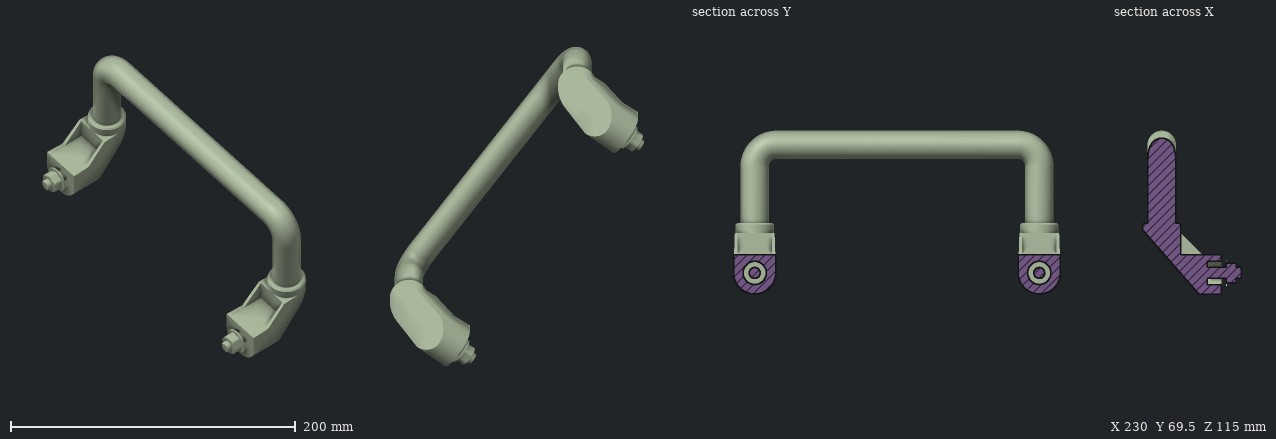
import cadquery as cq
import math


leg_spacing = 200.0
bar_diameter = 20.0
bend_radius = 15.0
bar_axis_height = 90.0

collar_diameter = 27.0
collar_radius = collar_diameter / 2
collar_top = 35.0
collar_chamfer = 1.0
shoulder_height = 28.0

foot_front = -42.0
foot_round_radius = 15.0
block_top = 13.0
back_slope_top = 30.0
back_slope_end = -26.0

pocket_width = 24.0
pocket_back = -collar_radius
pocket_step = 0.2
pocket_floor = block_top - pocket_step

recess_diameter = 16.0
recess_depth = 10.0

stud_diameter = 8.0
stud_end = -56.0
stud_chamfer = 0.75
washer_gap = 3.0
washer_diameter = 18.2
washer_thickness = 1.0
nut_across_flats = 13.0
nut_corner_diameter = 14.2
nut_height = 6.5
nut_chamfer_angle = 30.0
nut_turns = {-1: 0.0, 1: 30.0}


def cylinder_along_y(diameter, start, end):
    """Round bar on the stud axis from Y = start forward to Y = end."""
    return (
        cq.Workplane("XZ", origin=(0, start, 0))
        .circle(diameter / 2)
        .extrude(start - end)
    )


def make_bar():
    """Bar swept up one leg, across and down the other."""
    half_span = leg_spacing / 2
    bend_start = bar_axis_height - bend_radius
    straight_end = half_span - bend_radius
    path = (
        cq.Workplane("XZ")
        .moveTo(-half_span, shoulder_height)
        .lineTo(-half_span, bend_start)
        .radiusArc((-straight_end, bar_axis_height), bend_radius)
        .lineTo(straight_end, bar_axis_height)
        .radiusArc((half_span, bend_start), bend_radius)
        .lineTo(half_span, shoulder_height)
    )
    return (
        cq.Workplane("XY", origin=(-half_span, 0, shoulder_height))
        .circle(bar_diameter / 2)
        .sweep(path)
    )


def make_side_profile():
    """Cranked side outline of the whole foot, as a slab across its full width."""
    slope_run = shoulder_height - block_top
    outline = [
        (collar_radius, collar_top),
        (-collar_radius, collar_top),
        (-collar_radius, shoulder_height),
        (-collar_radius - slope_run, block_top),
        (foot_front, block_top),
        (foot_front, -foot_round_radius),
        (back_slope_end, -foot_round_radius),
        (collar_radius, back_slope_top),
    ]
    return (
        cq.Workplane("YZ")
        .polyline(outline)
        .close()
        .extrude(foot_round_radius, both=True)
    )


def make_foot_plan():
    """Collar cylinder joined to the cheeks, which widen towards the front."""
    front_x = foot_round_radius
    corner_distance = math.hypot(front_x, foot_front)
    draft = math.acos(collar_radius / corner_distance) - math.atan2(-foot_front, front_x)
    tangent_x = collar_radius * math.cos(draft)
    tangent_y = collar_radius * math.sin(draft)
    collar = (
        cq.Workplane("XY", origin=(0, 0, -foot_round_radius))
        .circle(collar_radius)
        .extrude(foot_round_radius + collar_top)
        .faces(">Z")
        .chamfer(collar_chamfer)
    )
    cheeks = (
        cq.Workplane("XY", origin=(0, 0, -foot_round_radius))
        .polyline(
            [
                (-tangent_x, tangent_y),
                (-front_x, foot_front),
                (front_x, foot_front),
                (tangent_x, tangent_y),
            ]
        )
        .close()
        .extrude(foot_round_radius + shoulder_height)
    )
    return collar.union(cheeks)


def make_round_bottom():
    """Upright slot shape along Y that rounds the underside of the foot."""
    round_bottom = cylinder_along_y(2 * foot_round_radius, collar_radius, foot_front)
    upper_part = cq.Workplane("XY").box(
        2 * foot_round_radius,
        collar_radius - foot_front,
        collar_top,
        centered=(True, False, False),
    ).translate((0, foot_front, 0))
    return round_bottom.union(upper_part)


def make_pocket():
    """Cutter for the recess between the cheeks."""
    return cq.Workplane("XY").box(
        pocket_width,
        pocket_back - foot_front,
        shoulder_height - pocket_floor,
        centered=(True, False, False),
    ).translate((0, foot_front, pocket_floor))


def make_foot():
    """Foot body with its pocket and stud recess."""
    foot = make_foot_plan().intersect(make_side_profile())
    foot = foot.intersect(make_round_bottom())
    recess = cylinder_along_y(recess_diameter, foot_front + recess_depth, foot_front)
    return foot.cut(make_pocket()).cut(recess)


def make_nut(start, turn):
    """Hexagon nut with rounded corners and a chamfered outer end, turned about the stud axis."""
    corner_radius = nut_corner_diameter / 2
    end_radius = nut_across_flats / 2
    chamfer_length = (corner_radius - end_radius) * math.tan(math.radians(nut_chamfer_angle))
    end = start - nut_height
    hexagon = (
        cq.Workplane("XZ", origin=(0, start, 0))
        .polygon(6, nut_across_flats, circumscribed=True)
        .extrude(nut_height)
        .rotate((0, 0, 0), (0, 1, 0), turn)
    )
    envelope = (
        cq.Workplane("XY")
        .polyline(
            [
                (0, start),
                (corner_radius, start),
                (corner_radius, end + chamfer_length),
                (end_radius, end),
                (0, end),
            ]
        )
        .close()
        .revolve(360, (0, 0, 0), (0, 1, 0))
    )
    return hexagon.intersect(envelope)


def make_fastener(nut_turn):
    """Chamfered stud with a washer standing clear of the foot, and a nut."""
    washer_start = foot_front - washer_gap
    nut_start = washer_start - washer_thickness
    stud = (
        cylinder_along_y(stud_diameter, foot_front + recess_depth, stud_end)
        .faces("<Y")
        .chamfer(stud_chamfer)
    )
    washer = cylinder_along_y(washer_diameter, washer_start, nut_start)
    return stud.union(washer).union(make_nut(nut_start, nut_turn))


plain_foot = make_foot()
result = make_bar()
for side, nut_turn in nut_turns.items():
    foot_with_fastener = plain_foot.union(make_fastener(nut_turn))
    result = result.union(foot_with_fastener.translate((side * leg_spacing / 2, 0, 0)))